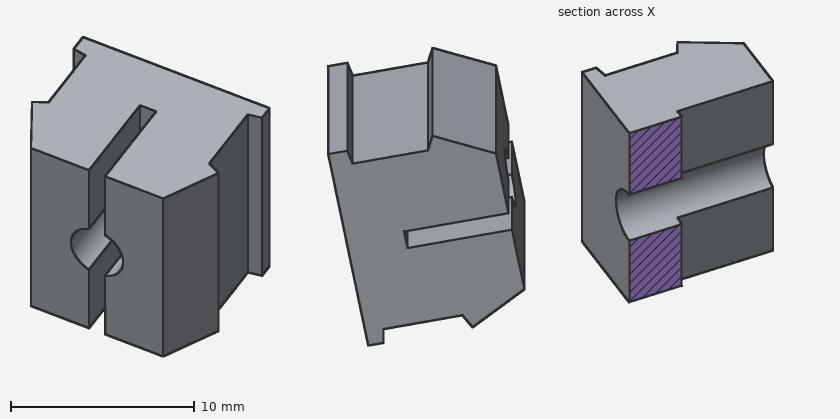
import cadquery as cq

width = 11.6
depth = 9.0
height = 12.0

channel_depth = 0.8
left_flange_edge = 1.07
right_flange_edge = 0.86
flange_taper = 0.15

barb_tip_offset = 3.2
barb_root_offset = 3.61
front_width = 8.23

slot_width = 1.0
slot_depth = 5.8
hole_diameter = 3.24

half_width = width / 2
half_neck = half_width - channel_depth
half_front = front_width / 2
front = -depth / 2
back = depth / 2


def side_points(side, flange_edge):
    """Outline of one side from front to back; side is -1 for left, +1 for right."""
    return [
        (side * half_front, front),
        (side * half_width, front + barb_tip_offset),
        (side * half_neck, front + barb_root_offset),
        (side * half_neck, back - flange_edge - flange_taper),
        (side * half_width, back - flange_edge),
        (side * half_width, back),
    ]


right_side = side_points(1, right_flange_edge)
left_side = side_points(-1, left_flange_edge)
outline = right_side + left_side[::-1]
body = cq.Workplane("XY").polyline(outline).close().extrude(height)

slot = (
    cq.Workplane("XY")
    .center(0, front + slot_depth / 2)
    .rect(slot_width, slot_depth)
    .extrude(height)
)

hole = (
    cq.Workplane("XZ", origin=(0, back, height / 2))
    .circle(hole_diameter / 2)
    .extrude(depth)
)

result = body.cut(slot).cut(hole)